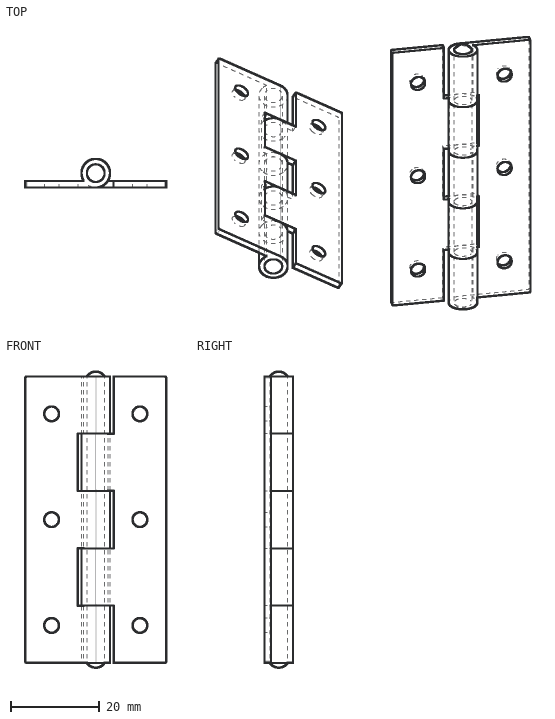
import cadquery as cq

TOTAL_HEIGHT = 67.2
LEAF_HEIGHT = 65.0
OPEN_WIDTH = 32.0
LEAF_THICKNESS = 1.5
KNUCKLE_DIAMETER = 6.5
KNUCKLE_COUNT = 5
PIN_DIAMETER = 4.0
NOTCH_REACH = 4.0
CORNER_RADIUS = 0.4
SCREW_HOLE_DIAMETER = 3.3
SCREW_HOLE_OFFSET = 10.0
SCREW_HOLE_PITCH = 24.0

HALF_WIDTH = OPEN_WIDTH / 2
KNUCKLE_RADIUS = KNUCKLE_DIAMETER / 2
KNUCKLE_LENGTH = LEAF_HEIGHT / KNUCKLE_COUNT
PIN_RADIUS = PIN_DIAMETER / 2
LEAF_BOTTOM = -LEAF_HEIGHT / 2
LEAF_TOP = LEAF_HEIGHT / 2


def cylinder_on_axis(radius, bottom, length):
    return cq.Workplane("XY", origin=(0, 0, bottom)).circle(radius).extrude(length)


def make_plate():
    """Flat part of a leaf on the -X side, with its outer face tangent to the knuckles."""
    plate = cq.Workplane("XY").box(HALF_WIDTH, LEAF_THICKNESS, LEAF_HEIGHT)
    plate = plate.edges("|Y and <X").fillet(CORNER_RADIUS)
    return plate.translate((-HALF_WIDTH / 2, -KNUCKLE_RADIUS + LEAF_THICKNESS / 2, 0))


def make_notch(bottom):
    """Clearance around one knuckle of the other leaf."""
    base = cq.Workplane("XY", origin=(0, 0, bottom))
    return base.rect(2 * NOTCH_REACH, KNUCKLE_DIAMETER).extrude(KNUCKLE_LENGTH)


def make_screw_holes():
    return (
        cq.Workplane("XZ")
        .pushPoints([(-SCREW_HOLE_OFFSET, row * SCREW_HOLE_PITCH) for row in (-1, 0, 1)])
        .circle(SCREW_HOLE_DIAMETER / 2)
        .extrude(KNUCKLE_DIAMETER)
    )


def make_leaf(first_knuckle):
    """Leaf on the -X side holding every second knuckle, starting at the given index."""
    leaf = make_plate()
    for index in range(KNUCKLE_COUNT):
        bottom = LEAF_BOTTOM + index * KNUCKLE_LENGTH
        if index % 2 == first_knuckle:
            leaf = leaf.union(cylinder_on_axis(KNUCKLE_RADIUS, bottom, KNUCKLE_LENGTH))
        else:
            leaf = leaf.cut(make_notch(bottom))
    pin_bore = cylinder_on_axis(PIN_RADIUS, LEAF_BOTTOM, LEAF_HEIGHT)
    return leaf.cut(pin_bore).cut(make_screw_holes())


def make_pin():
    """Pin with a shallow dome standing out at each end."""
    half_profile = (
        cq.Workplane("XZ")
        .moveTo(0, -TOTAL_HEIGHT / 2)
        .threePointArc(dome_midpoint(-1), (PIN_RADIUS, LEAF_BOTTOM))
        .lineTo(PIN_RADIUS, LEAF_TOP)
        .threePointArc(dome_midpoint(1), (0, TOTAL_HEIGHT / 2))
        .close()
    )
    return half_profile.revolve(360, (0, 0, 0), (0, 1, 0))


def dome_midpoint(side):
    """Point of the dome arc halfway out from the axis, at the top (1) or bottom (-1) end."""
    dome_height = TOTAL_HEIGHT / 2 - LEAF_TOP
    dome_radius = (PIN_RADIUS**2 + dome_height**2) / (2 * dome_height)
    x = PIN_RADIUS / 2
    drop = dome_radius - (dome_radius**2 - x**2) ** 0.5
    return x, side * (TOTAL_HEIGHT / 2 - drop)


left_leaf = make_leaf(first_knuckle=0)
right_leaf = make_leaf(first_knuckle=1).mirror("YZ")
pin = make_pin()

result = cq.Compound.makeCompound([left_leaf.solids().val(), right_leaf.solids().val(), pin.val()])